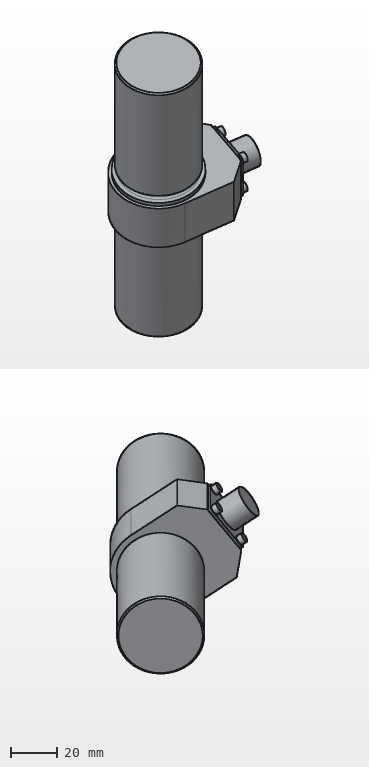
import cadquery as cq

total_height = 152.4
total_depth = 69.5

barrel_radius = 38.1 / 2
end_chamfer = 0.8

block_bottom = 59.6
block_height = 24.2
block_radius = 43.9 / 2
block_back = 34.5
corner_bevel = 9.5
block_top = block_bottom + block_height
block_middle = block_bottom + block_height / 2

flange_radius = 40.8 / 2
flange_height = 2.0
flange_top = block_top + flange_height
neck_radius = 34.1 / 2
neck_fillet = 1.2
groove_top = 88.7

plate_width = 24.1
plate_thickness = 1.2
plate_corner_radius = 3.4 / 2
plug_diameter = 15.0
plug_length = total_depth - block_radius - block_back - plate_thickness
screw_head_diameter = 4.5
screw_head_height = 2.7
screw_spacing = 18.5


def make_barrel():
    """Revolve the barrel with its flange, groove and chamfered ends."""
    chamfered_radius = barrel_radius - end_chamfer
    profile = (
        cq.Workplane("XZ")
        .moveTo(0, 0)
        .lineTo(chamfered_radius, 0)
        .lineTo(barrel_radius, end_chamfer)
        .lineTo(barrel_radius, block_top)
        .lineTo(flange_radius, block_top)
        .lineTo(flange_radius, flange_top)
        .lineTo(neck_radius + neck_fillet, flange_top)
        .radiusArc((neck_radius, flange_top + neck_fillet), neck_fillet)
        .lineTo(barrel_radius, groove_top)
        .lineTo(barrel_radius, total_height - end_chamfer)
        .lineTo(chamfered_radius, total_height)
        .lineTo(0, total_height)
        .close()
    )
    return profile.revolve(360, (0, 0, 0), (0, 1, 0))


def make_block():
    """Extrude the clamp block outline upward."""
    back_half_width = block_radius - corner_bevel
    bevel_start = block_back - corner_bevel
    return (
        cq.Workplane("XY", origin=(0, 0, block_bottom))
        .moveTo(-block_radius, 0)
        .threePointArc((0, -block_radius), (block_radius, 0))
        .lineTo(block_radius, bevel_start)
        .lineTo(back_half_width, block_back)
        .lineTo(-back_half_width, block_back)
        .lineTo(-block_radius, bevel_start)
        .close()
        .extrude(block_height)
    )


def back_plane(y):
    """Upright workplane at depth y, centred on the connector axis."""
    return cq.Workplane("XZ", origin=(0, y, block_middle))


def make_connector():
    """Square plate with a round plug and four screw heads."""
    plate_back = block_back + plate_thickness
    plate = (
        back_plane(block_back)
        .rect(plate_width, plate_width)
        .extrude(-plate_thickness)
        .edges("|Y")
        .fillet(plate_corner_radius)
    )
    plug = back_plane(plate_back).circle(plug_diameter / 2).extrude(-plug_length)
    screw_heads = (
        back_plane(plate_back)
        .rect(screw_spacing, screw_spacing, forConstruction=True)
        .vertices()
        .circle(screw_head_diameter / 2)
        .extrude(-screw_head_height)
    )
    return plate.union(plug).union(screw_heads)


result = make_barrel().union(make_block()).union(make_connector())